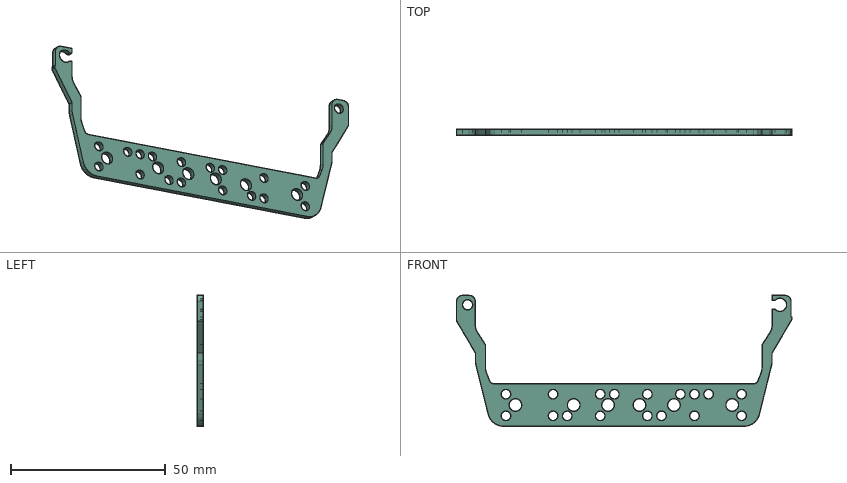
import cadquery as cq

thickness = 2.0
height = 42.4

bar_height = 13.8
bar_corner_half_width = 43.0
bottom_half_width = 42.9
bottom_corner_radius = 5.2
inner_corner_radius = 1.5

tab_outer_x = 54.1
tab_inner_x = 48.0
neck_outer_x = tab_inner_x
neck_inner_x = 44.7

tab_outer_bottom_z = 34.1
tab_inner_bottom_z = 31.5
neck_outer_top_z = 23.7
neck_inner_top_z = 26.4
neck_outer_bottom_z = 20.5
neck_inner_bottom_z = 18.2
bend_radius = 5.0

tab_radius = 2.0
eye_x = 50.5
eye_z = height - 3.1
left_eye_diameter = 3.2
right_eye_diameter = 4.2
eye_opening = 2.8

step_width = 0.3
step_top_z = 35.3

pitch = 15.24
pitch_columns = 6
side_hole_offset = 4.57
row_spacing = 7.0
mid_row_z = bar_height / 2
small_diameter = 3.0
large_diameter = 4.0
large_hole_offsets = [5.08, 16.2, 35.05]


def plate():
    """Closed U-shaped outline, extruded through the thickness along Y."""
    right_side = [
        (bottom_half_width, 0),
        (neck_outer_x, neck_outer_bottom_z),
        (neck_outer_x, neck_outer_top_z),
        (tab_outer_x, tab_outer_bottom_z),
        (tab_outer_x, height),
        (tab_inner_x, height),
        (tab_inner_x, tab_inner_bottom_z),
        (neck_inner_x, neck_inner_top_z),
        (neck_inner_x, neck_inner_bottom_z),
        (bar_corner_half_width, bar_height),
    ]
    left_side = [(-x, z) for x, z in reversed(right_side)]
    outline = cq.Workplane("XZ").polyline(right_side + left_side).close()
    return outline.extrude(thickness / 2, both=True)


def round_corner(body, x, z, radius):
    """Fillet the edge that runs through the thickness at (x, z)."""
    edge = cq.selectors.NearestToPointSelector((x, 0, z))
    return body.edges("|Y").edges(edge).fillet(radius)


def right_tab_step():
    """Sliver that carries the slanted flank past the right tab's outer side."""
    flank_slope = (tab_outer_bottom_z - neck_outer_top_z) / (tab_outer_x - neck_outer_x)
    step_outer_x = tab_outer_x + step_width
    step_outer_z = tab_outer_bottom_z + step_width * flank_slope
    step = cq.Workplane("XZ").polyline([
        (tab_inner_x, tab_outer_bottom_z),
        (tab_outer_x, tab_outer_bottom_z),
        (step_outer_x, step_outer_z),
        (step_outer_x, step_top_z),
        (tab_inner_x, step_top_z),
    ])
    return step.close().extrude(thickness / 2, both=True)


def through_holes(points, diameter):
    """Cylinders through the plate at the given (x, z) points."""
    return cq.Workplane("XZ").pushPoints(points).circle(diameter / 2).extrude(thickness, both=True)


def right_eye_opening():
    """Slot from the right eye to the inner side of its tab."""
    length = eye_x - tab_inner_x
    slot = cq.Workplane("XZ").center(eye_x - length / 2, eye_z).rect(length, eye_opening)
    return slot.extrude(thickness, both=True)


def small_holes():
    """Two rows on a common pitch, each with its own extra holes beside the pitch."""
    common = [pitch * (index - (pitch_columns - 1) / 2) for index in range(pitch_columns)]
    upper_extra = [
        -pitch / 2 + side_hole_offset,
        1.5 * pitch - side_hole_offset,
        1.5 * pitch + side_hole_offset,
    ]
    lower_extra = [
        -1.5 * pitch + side_hole_offset,
        pitch / 2 + side_hole_offset,
    ]
    upper_z = mid_row_z + row_spacing / 2
    lower_z = mid_row_z - row_spacing / 2
    points = [(x, upper_z) for x in common + upper_extra]
    points += [(x, lower_z) for x in common + lower_extra]
    return through_holes(points, small_diameter)


def large_holes():
    """Middle row, mirrored about X = 0."""
    points = [(side * x, mid_row_z) for x in large_hole_offsets for side in (-1, 1)]
    return through_holes(points, large_diameter)


body = plate()
for side in (-1, 1):
    body = round_corner(body, side * bottom_half_width, 0, bottom_corner_radius)
    body = round_corner(body, side * bar_corner_half_width, bar_height, inner_corner_radius)
    body = round_corner(body, side * neck_outer_x, neck_outer_bottom_z, bend_radius)
    body = round_corner(body, side * neck_inner_x, neck_inner_bottom_z, bend_radius)
    body = round_corner(body, side * tab_inner_x, tab_inner_bottom_z, bend_radius)
for tab_x in (-tab_outer_x, -tab_inner_x, tab_outer_x):
    body = round_corner(body, tab_x, height, tab_radius)
body = body.union(right_tab_step())

body = body.cut(through_holes([(-eye_x, eye_z)], left_eye_diameter))
body = body.cut(through_holes([(eye_x, eye_z)], right_eye_diameter))
body = body.cut(right_eye_opening())
body = body.cut(small_holes())
body = body.cut(large_holes())

result = body